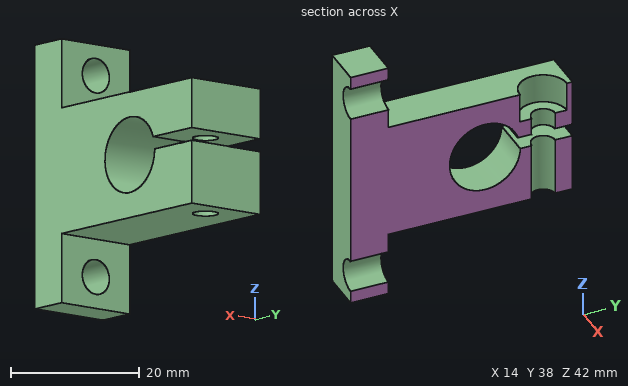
import cadquery as cq

width = 14.0
plate_height = 42.0
plate_thickness = 6.5
mount_hole_diameter = 5.5
mount_hole_edge_distance = 5.0

total_depth = 38.0
block_height = 20.0
bore_diameter = 12.0
bore_center_y = 23.0
slot_height = 2.0

screw_hole_diameter = 4.0
counterbore_diameter = 8.0
counterbore_depth = 5.0
screw_end_distance = 5.0


def make_plate():
    """Plate with its front face at Y = 0 and a mounting hole near each end."""
    hole_spacing = plate_height - 2 * mount_hole_edge_distance
    plate = cq.Workplane("XY").box(width, plate_thickness, plate_height, centered=(True, False, True))
    return (
        plate.faces("<Y")
        .workplane(origin=(0, 0, 0))
        .rarray(0.4, hole_spacing, 1, 2)
        .hole(mount_hole_diameter)
    )


def make_block():
    """Plain clamp block from the back face of the plate to the rear end."""
    block_length = total_depth - plate_thickness
    return (
        cq.Workplane("XY", origin=(0, plate_thickness, 0))
        .box(width, block_length, block_height, centered=(True, False, True))
    )


def cut_shaft_clamp(block):
    """Cut the shaft bore along X and the slot that opens it to the rear."""
    bore = (
        cq.Workplane("YZ", origin=(-width / 2, 0, 0))
        .center(bore_center_y, 0)
        .circle(bore_diameter / 2)
        .extrude(width)
    )
    slot = (
        cq.Workplane("XY", origin=(0, bore_center_y, 0))
        .box(width, total_depth - bore_center_y, slot_height, centered=(True, False, False))
    )
    return block.cut(bore).cut(slot)


def cut_screw_hole(block):
    """Cut the counterbored clamp screw hole down from the top face."""
    return (
        block.faces(">Z")
        .workplane(origin=(0, total_depth - screw_end_distance, 0))
        .cboreHole(screw_hole_diameter, counterbore_diameter, counterbore_depth)
    )


clamp_block = cut_screw_hole(cut_shaft_clamp(make_block()))
result = make_plate().union(clamp_block)